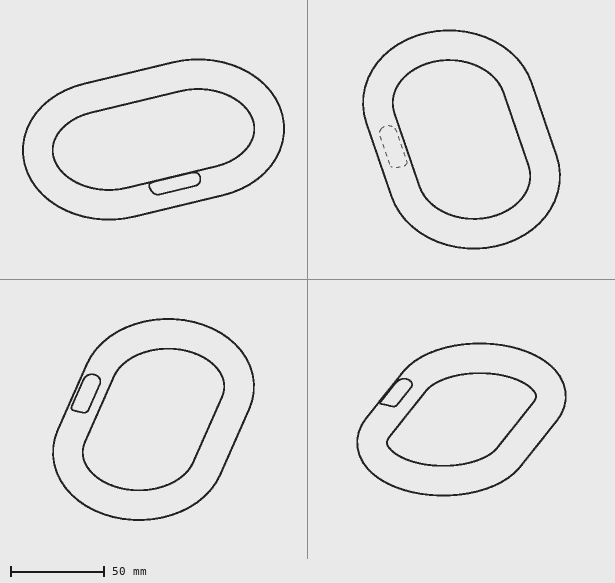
import cadquery as cq
import math

bar_diameter = 16.0
inner_width = 60.0
straight_length = 50.0

recess_depth = 1.5
recess_length = 28.0
recess_floor_length = 18.5
floor_end_radius = 22.0
cutter_clearance = 0.5
runout_sweep = 30.0

bar_radius = bar_diameter / 2
bend_radius = inner_width / 2 + bar_radius
half_straight = straight_length / 2
floor_z = bar_radius - recess_depth
half_floor = recess_floor_length / 2
cutter_top = bar_radius + cutter_clearance

runout_length = (recess_length - recess_floor_length) / 2
runout_radius = (runout_length**2 + recess_depth**2) / (2 * recess_depth)


def make_ring():
    """Round bar swept along two straight legs joined by half-circle bends."""
    path = (
        cq.Workplane("XY")
        .moveTo(bend_radius, -half_straight)
        .lineTo(bend_radius, half_straight)
        .threePointArc((0, half_straight + bend_radius), (-bend_radius, half_straight))
        .lineTo(-bend_radius, -half_straight)
        .threePointArc((0, -half_straight - bend_radius), (bend_radius, -half_straight))
        .close()
    )
    section = cq.Workplane("XZ", origin=(bend_radius, -half_straight, 0)).circle(bar_radius)
    return section.sweep(path)


def runout_point(height):
    """Radius and Z of the run-out arc at a height above the recess floor."""
    advance = math.sqrt(runout_radius**2 - (runout_radius - height) ** 2)
    return floor_end_radius - advance, floor_z + height


def make_runout_cutter():
    """Shallow scoop at the +Y end of the recess, turned about a vertical axis beyond it."""
    cutter_height = cutter_top - floor_z
    outer_radius = floor_end_radius + half_floor
    arc_top = runout_point(cutter_height)
    profile = (
        cq.Workplane("XZ")
        .moveTo(outer_radius, floor_z)
        .lineTo(floor_end_radius, floor_z)
        .threePointArc(runout_point(cutter_height / 2), arc_top)
        .lineTo(outer_radius, cutter_top)
        .close()
    )
    scoop = profile.revolve(runout_sweep, (0, 0, 0), (0, 1, 0))
    scoop = scoop.rotate((0, 0, 0), (0, 0, 1), -90 - runout_sweep / 2)
    return scoop.translate((bend_radius, half_floor + floor_end_radius, 0))


def make_floor_cutter():
    """Block over the middle of the recess floor, overlapping both run-out scoops."""
    block = cq.Workplane("XY", origin=(bend_radius, 0, floor_z))
    return block.rect(bar_diameter, half_floor).extrude(cutter_top - floor_z)


def cut_recess(ring):
    """Flat-floored recess whose two ends rise to the bar surface."""
    runout = make_runout_cutter()
    return ring.cut(make_floor_cutter()).cut(runout).cut(runout.mirror("XZ")).clean()


result = cut_recess(make_ring())